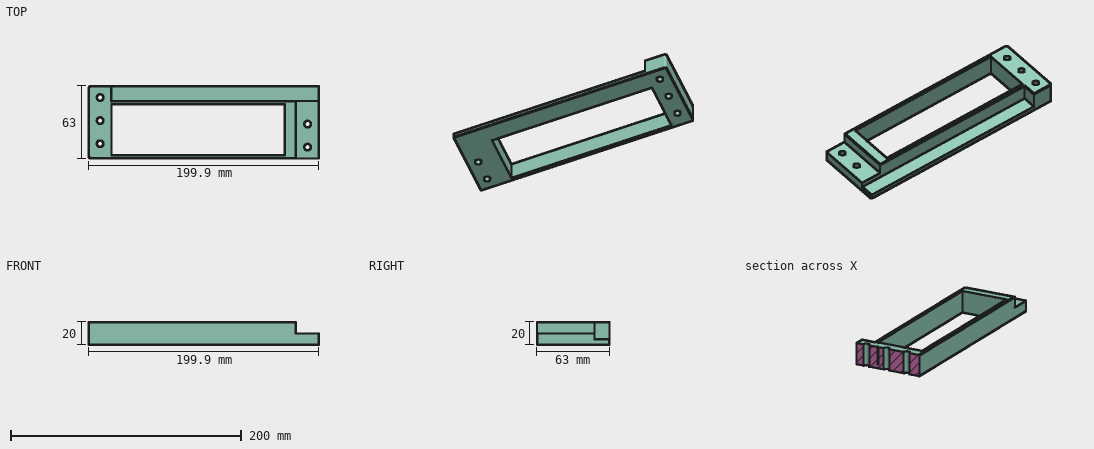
import cadquery as cq

length = 199.9
width = 63.0
height = 20.0
corner_radius = 2.0
edge_chamfer = 0.5

end_block_length = 20.0
wall = 3.0
opening_length = 150.0
opening_width = 44.0

end_step_start = length - end_block_length
end_step_height = 10.0
ledge_front = 2 * wall + opening_width
ledge_height = 5.0

hole_diameter = 5.5
hole_pitch = 20.0
left_hole_x = 10.0
left_hole_first_y = 13.0
left_hole_count = 3
right_hole_x = 190.0
right_hole_first_y = 10.0
right_hole_count = 2


def box(x0, x1, y0, y1, z0, z1):
    """Axis-aligned block between two opposite corners."""
    return cq.Workplane("XY").box(x1 - x0, y1 - y0, z1 - z0, centered=False).translate((x0, y0, z0))


def make_end_step():
    """Space above the lowered tongue at the +X end."""
    return box(end_step_start, length, 0, ledge_front, end_step_height, height)


def make_ledge_space():
    """Space above the low ledge along the +Y side."""
    return box(end_block_length, length, ledge_front, width, ledge_height, height)


def make_body():
    """Stepped block with rounded and broken edges, before the window and holes."""
    body = box(0, length, 0, width, 0, height)
    body = body.edges("|Z and <X").fillet(corner_radius)
    body = body.edges("|Z and >X").chamfer(edge_chamfer)
    body = body.cut(make_end_step()).cut(make_ledge_space())
    ledge_end_middle = (length, (ledge_front + width) / 2, ledge_height)
    body = body.edges(cq.selectors.NearestToPointSelector(ledge_end_middle)).chamfer(edge_chamfer)
    return body.faces("<Z or >Z").edges().chamfer(edge_chamfer)


def make_opening():
    """Rectangular window through the frame."""
    return box(end_block_length, end_block_length + opening_length, wall, wall + opening_width, 0, height)


def make_hole_row(x, first_y, count):
    """Row of through holes at one X position, spaced along Y."""
    centers = [(x, first_y + i * hole_pitch) for i in range(count)]
    return cq.Workplane("XY").pushPoints(centers).circle(hole_diameter / 2).extrude(height)


result = (
    make_body()
    .cut(make_opening())
    .cut(make_hole_row(left_hole_x, left_hole_first_y, left_hole_count))
    .cut(make_hole_row(right_hole_x, right_hole_first_y, right_hole_count))
)